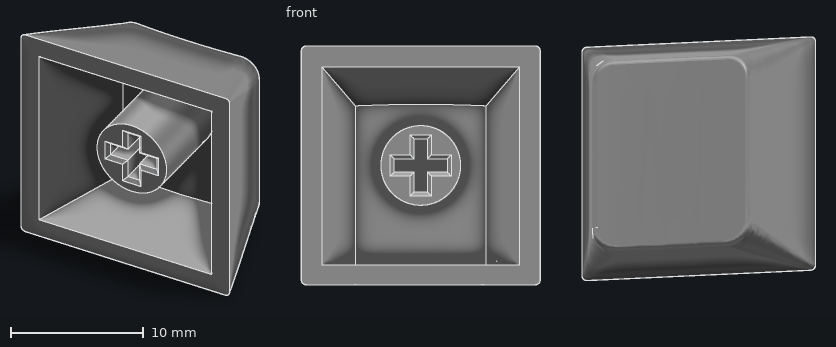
import cadquery as cq
import math

base_width = 18.0
base_half = base_width / 2
blank_height = 11.0
taper_height = 10.1
side_inset = 3.0
rear_inset = 3.5
side_slope = side_inset / taper_height
rear_slope = rear_inset / taper_height
wall = 1.5

dish_low = 9.62
dish_radius = 36.0

corner_radius_base = 0.4
corner_radius_top = 1.8
rim_radius = 0.4

stem_diameter = 6.0
stem_recess = 1.0
cross_length = 4.0
cross_width = 1.0
cross_chamfer = 0.3


def tapered_block(inset):
    """Block with three sloped walls and an upright -Z wall, all moved inward by inset."""
    side = base_half - inset * math.hypot(1, side_slope)
    rear = base_half - inset * math.hypot(1, rear_slope)
    front = -base_half + inset

    def outline(height):
        half = side - side_slope * height
        top = rear - rear_slope * height
        corners = [(-half, front), (half, front), (half, top), (-half, top)]
        points = [cq.Vector(x, height, z) for x, z in corners]
        return cq.Wire.makePolygon(points, close=True)

    loft = cq.Solid.makeLoft([outline(0), outline(blank_height)], True)
    return cq.Workplane(obj=loft)


def dish(inset):
    """Cylinder along Z that bounds the top, lowered along its normal by inset."""
    axis_height = dish_low + dish_radius
    start = cq.Workplane("XY", origin=(0, axis_height, -base_width))
    return start.circle(dish_radius + inset).extrude(2 * base_width)


def round_corners(body):
    """Round the four sloping corner edges with a radius that grows from base to top."""
    solid = body.val()
    builder = cq.occ_impl.shapes.BRepFilletAPI_MakeFillet(solid.wrapped)
    for edge in solid.Edges():
        rise = edge.endPoint().y - edge.startPoint().y
        if abs(rise) < dish_low / 2:
            continue
        if rise > 0:
            builder.Add(corner_radius_base, corner_radius_top, edge.wrapped)
        else:
            builder.Add(corner_radius_top, corner_radius_base, edge.wrapped)
    return cq.Workplane(obj=cq.Shape.cast(builder.Shape()))


def round_rim(body):
    """Round the closed edge around the dish."""
    dish_face = body.faces("%CYLINDER").faces(cq.selectors.NearestToPointSelector((0, dish_low, 0)))
    return dish_face.edges().fillet(rim_radius)


def make_shell():
    """Rounded outer body, hollowed from the base plane to a constant wall thickness."""
    body = tapered_block(0).cut(dish(0))
    body = round_rim(round_corners(body))
    cavity = tapered_block(wall).cut(dish(wall))
    return body.cut(cavity)


def make_stem():
    """Round stem hanging from the curved ceiling, its socket running up to that ceiling."""
    end_plane = cq.Workplane("XZ", origin=(0, stem_recess, 0))
    reach = blank_height - stem_recess
    across = end_plane.rect(cross_length, cross_width).extrude(-reach)
    upright = end_plane.rect(cross_width, cross_length).extrude(-reach)
    stem = end_plane.circle(stem_diameter / 2).extrude(-reach)
    stem = stem.cut(across.union(upright))
    stem = stem.faces("<Y").edges("%LINE").chamfer(cross_chamfer)
    return stem.cut(dish(wall))


result = make_shell().union(make_stem())